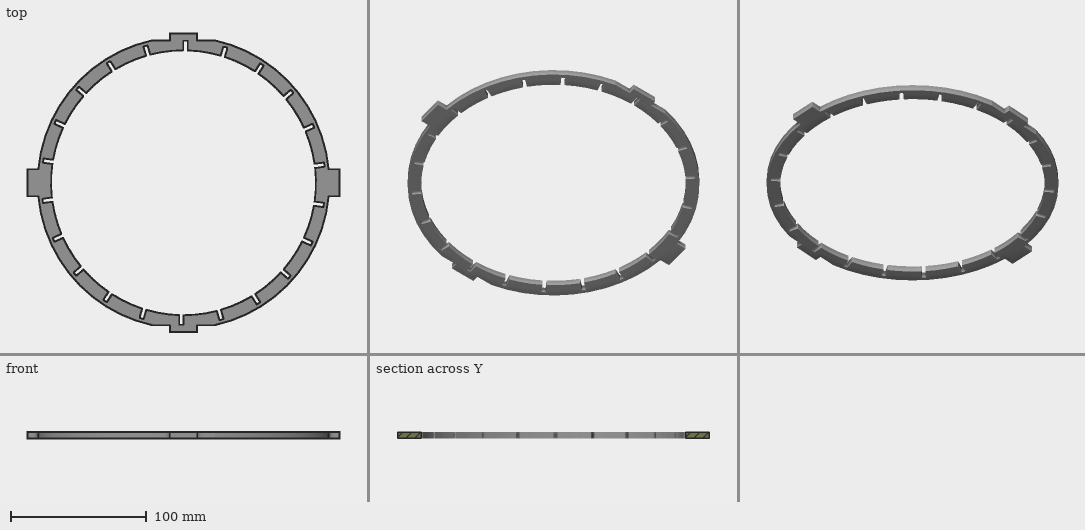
import cadquery as cq

thickness = 5.0
inner_radius = 97.5
ring_width = 10.0
outer_radius = inner_radius + ring_width
flat_span_y = 210.0

tab_width = 20.0
tab_span_x = 230.0
tab_span_y = 220.0

slot_count = 22
slot_width = 3.0
slot_depth = 7.0
slot_end_radius = inner_radius + slot_depth


def centred_block(size_x, size_y):
    """Block of the ring's thickness, centred on the Z axis."""
    return cq.Workplane("XY").rect(size_x, size_y).extrude(thickness)


def make_ring():
    """Disc trimmed by two flats and joined with the tabs, then bored."""
    disc = cq.Workplane("XY").circle(outer_radius).extrude(thickness)
    trimmed_disc = disc.intersect(centred_block(2 * outer_radius, flat_span_y))
    x_tabs = centred_block(tab_span_x, tab_width)
    y_tabs = centred_block(tab_width, tab_span_y)
    bore = cq.Workplane("XY").circle(inner_radius).extrude(thickness)
    return trimmed_disc.union(x_tabs).union(y_tabs).cut(bore)


def make_slot(angle):
    """Slot cutter with one side on the radial line that is `angle` degrees from +Y."""
    start_radius = inner_radius - slot_depth
    cutter = cq.Workplane("XY").box(
        slot_width, slot_end_radius - start_radius, thickness, centered=False
    )
    return cutter.translate((0, start_radius, 0)).rotate((0, 0, 0), (0, 0, 1), angle)


result = make_ring()
for index in range(slot_count):
    result = result.cut(make_slot(index * 360.0 / slot_count))